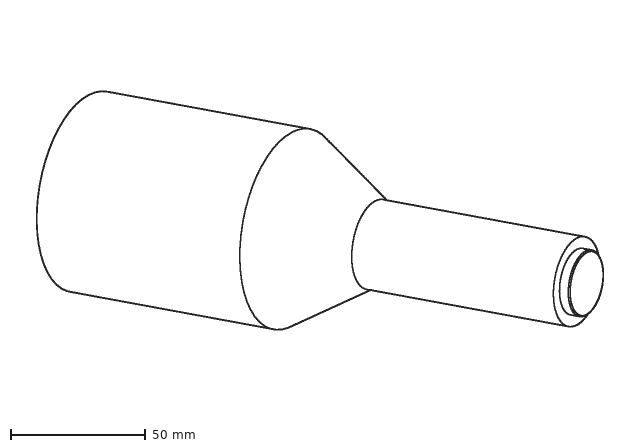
import cadquery as cq

total_length = 216.2
body_diameter = 76.0
body_length = 88.2
cone_length = 36.0
neck_diameter = 34.2
tip_diameter = 25.3
tip_length = 4.3
tip_chamfer = 0.5

cone_end = body_length + cone_length
neck_end = total_length - tip_length

profile = (
    cq.Workplane("XZ")
    .moveTo(0, 0)
    .lineTo(0, body_diameter / 2)
    .lineTo(body_length, body_diameter / 2)
    .lineTo(cone_end, neck_diameter / 2)
    .lineTo(neck_end, neck_diameter / 2)
    .lineTo(neck_end, tip_diameter / 2)
    .lineTo(total_length - tip_chamfer, tip_diameter / 2)
    .lineTo(total_length, tip_diameter / 2 - tip_chamfer)
    .lineTo(total_length, 0)
    .close()
)

result = profile.revolve(360, (0, 0, 0), (1, 0, 0))